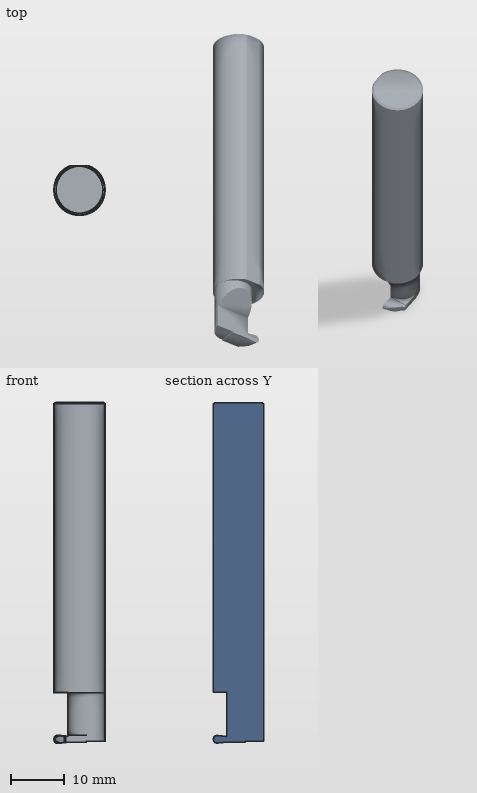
import cadquery as cq

total_length = 63.5
shank_radius = 4.75
shank_flat_y = 4.5
shoulder_z = 9.45
chamfer_width = 0.4
chamfer_height = 0.25

neck_radius = 3.5
neck_x = shank_radius - neck_radius
neck_left_x = neck_x - neck_radius
neck_bottom_z = 0.4
relief_top_z = 8.05
relief_bottom_z = 4.75

nose_radius = 0.75
heel_nose_radius = 0.6
root_half_height = 0.6
head_z = nose_radius
rake_nose_center_x = nose_radius - shank_radius
heel_nose_center_x = -3.3
block_bottom_z = 0.2
block_top_z = 1.5
heel_corner = (-2.85, -3.0)
end_arc_middle = (-4.05, -1.65)
heel_front_x = -2.55


def make_shank():
    length = total_length - shoulder_z
    profile = (
        cq.Workplane("XZ")
        .moveTo(0, shoulder_z)
        .lineTo(shank_radius, shoulder_z)
        .lineTo(shank_radius, total_length - chamfer_height)
        .lineTo(shank_radius - chamfer_width, total_length)
        .lineTo(0, total_length)
        .close()
    )
    shank = profile.revolve(360, (0, 0, 0), (0, 1, 0))
    flat_cutter = cq.Workplane("XY").box(
        2 * shank_radius, shank_radius, length, centered=(True, False, False)
    )
    return shank.cut(flat_cutter.translate((0, shank_flat_y, shoulder_z)))


def make_neck():
    neck = (
        cq.Workplane("XY", origin=(neck_x, 0, neck_bottom_z))
        .circle(neck_radius)
        .extrude(shoulder_z - neck_bottom_z)
    )
    relief = (
        cq.Workplane("YZ", origin=(neck_left_x, 0, 0))
        .moveTo(0, 0)
        .lineTo(0, relief_bottom_z)
        .lineTo(neck_radius, relief_top_z)
        .lineTo(neck_radius, 0)
        .close()
        .extrude(2 * neck_radius)
    )
    return neck.cut(relief)


def nose_profile(plane, radius, center_x):
    """Add a round-nosed outline that runs to the common root height."""
    return (
        plane.moveTo(neck_left_x, head_z - root_half_height)
        .lineTo(center_x, head_z - radius)
        .threePointArc((center_x - radius, head_z), (center_x, head_z + radius))
        .lineTo(neck_left_x, head_z + root_half_height)
        .lineTo(neck_x, head_z + root_half_height)
        .lineTo(neck_x, head_z - root_half_height)
        .close()
    )


def make_head():
    rake_profile = nose_profile(cq.Workplane("XZ"), nose_radius, rake_nose_center_x)
    heel_plane = rake_profile.workplane(offset=neck_radius)
    nose = nose_profile(heel_plane, heel_nose_radius, heel_nose_center_x).loft(ruled=True)
    plan = (
        cq.Workplane("XY")
        .moveTo(-shank_radius, 0)
        .threePointArc(end_arc_middle, heel_corner)
        .lineTo(heel_front_x, -neck_radius)
        .lineTo(neck_x, -neck_radius)
        .lineTo(neck_x, 0)
        .close()
        .extrude(2 * nose_radius)
    )
    block = cq.Workplane("XY").box(
        neck_x - neck_left_x, neck_radius, block_top_z - block_bottom_z, centered=False
    )
    block = block.translate((neck_left_x, -neck_radius, block_bottom_z))
    return nose.intersect(plan).union(block)


result = make_shank().union(make_neck()).union(make_head())